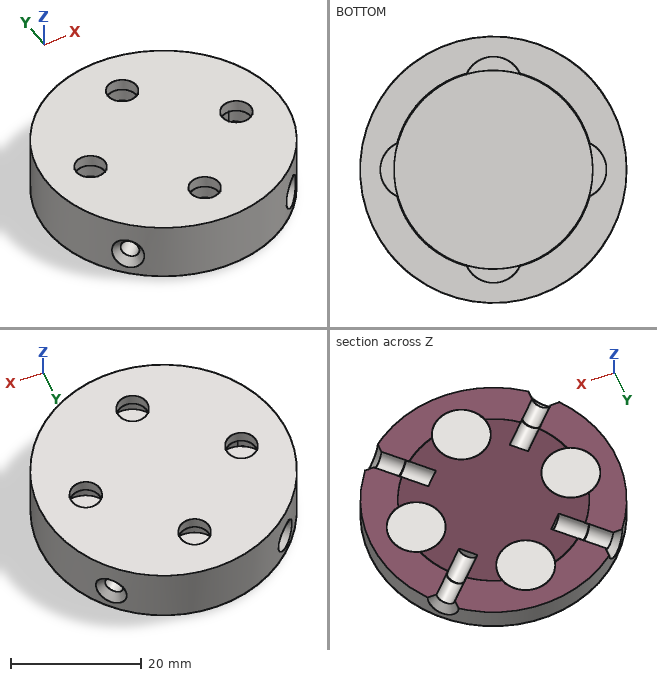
import cadquery as cq

housing_diameter = 41.0
housing_height = 10.0
lower_recess_diameter = 30.75

insert_diameter = 30.55
insert_protrusion = 1.0
step_z = 4.95
upper_diameter = 29.35

window_count = 4
window_pitch_radius = 12.87
window_diameter = 5.0
window_depth = 2.0
pocket_diameter = 9.0

screw_hole_diameter = 3.0
screw_axis_z = 5.0
screw_hole_end_radius = 10.25
countersink_diameter = 5.5
countersink_depth = 1.25

housing_radius = housing_diameter / 2
total_height = insert_protrusion + housing_height
pocket_top_z = total_height - window_depth
window_spacing_angle = 360 / window_count
first_screw_angle = window_spacing_angle / 2
screw_hole_radius = screw_hole_diameter / 2
countersink_slope = (countersink_diameter / 2 - screw_hole_radius) / countersink_depth
cone_overrun = 0.4


def disc(diameter, bottom_z, top_z):
    """Upright cylinder on the central axis."""
    return cq.Workplane("XY", origin=(0, 0, bottom_z)).circle(diameter / 2).extrude(top_z - bottom_z)


def window_cylinders(diameter, bottom_z, top_z):
    """Upright cylinders, one at each window position."""
    return (
        cq.Workplane("XY", origin=(0, 0, bottom_z))
        .polarArray(window_pitch_radius, 0, 360, window_count)
        .circle(diameter / 2)
        .extrude(top_z - bottom_z)
    )


def screw_hole():
    """Straight screw hole along +X, from its inner end to the housing surface."""
    return (
        cq.Workplane("YZ", origin=(screw_hole_end_radius, 0, screw_axis_z))
        .circle(screw_hole_radius)
        .extrude(housing_radius - screw_hole_end_radius)
    )


def countersink():
    """Cone along +X that widens the mouth of a screw hole."""
    cone_length = countersink_depth + cone_overrun
    return cq.Workplane(
        cq.Solid.makeCone(
            screw_hole_radius,
            screw_hole_radius + countersink_slope * cone_length,
            cone_length,
            pnt=cq.Vector(housing_radius - countersink_depth, 0, screw_axis_z),
            dir=cq.Vector(1, 0, 0),
        )
    )


def cut_at_screws(body, tool):
    """Cut a tool that lies along +X at every screw direction."""
    for i in range(window_count):
        angle = first_screw_angle + i * window_spacing_angle
        body = body.cut(tool.rotate((0, 0, 0), (0, 0, 1), angle))
    return body


def make_housing():
    """Outer disc with a stepped recess, keyed pockets, windows and countersunk screw holes."""
    housing = disc(housing_diameter, insert_protrusion, total_height)
    housing = housing.cut(disc(lower_recess_diameter, insert_protrusion, step_z))
    housing = housing.cut(disc(upper_diameter, step_z, pocket_top_z))
    housing = housing.cut(window_cylinders(pocket_diameter, insert_protrusion, pocket_top_z))
    housing = housing.cut(window_cylinders(window_diameter, pocket_top_z, total_height))
    housing = cut_at_screws(housing, screw_hole())
    return cut_at_screws(housing, countersink())


def make_insert():
    """Stepped disc with lugs below the pockets, pockets that stop at the step, and screw holes."""
    insert = disc(insert_diameter, 0, step_z)
    insert = insert.union(disc(upper_diameter, step_z, pocket_top_z))
    insert = insert.union(window_cylinders(pocket_diameter, insert_protrusion, step_z))
    insert = insert.cut(window_cylinders(pocket_diameter, step_z, pocket_top_z))
    return cut_at_screws(insert, screw_hole())


housing = make_housing()
insert = make_insert()

result = cq.Compound.makeCompound([housing.solids().val(), insert.solids().val()])